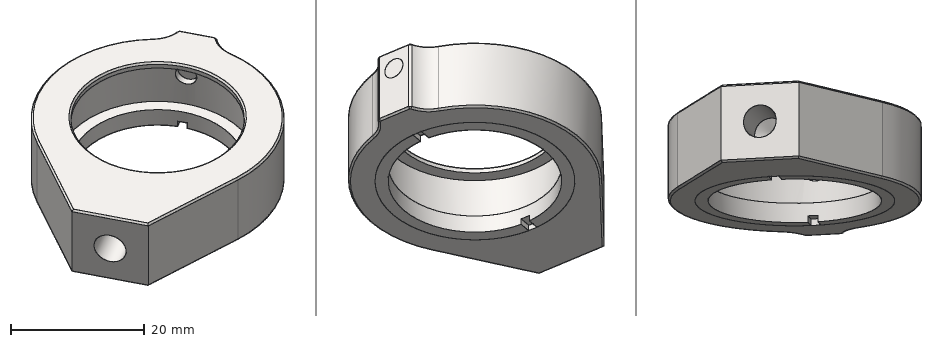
import cadquery as cq
import math

HEIGHT = 12.0
BODY_RADIUS = 19.0
FOOT_Y = -25.02
FOOT_HALF_WIDTH = 6.0
TAB_Y = 20.98
TAB_HALF_WIDTH = 3.0
TAB_BLEND_RADIUS = 5.0
EDGE_CHAMFER = 0.3

LIP_RADIUS = 13.0
LIP_HEIGHT = 1.0
BORE_RADIUS = 15.0

RING_HEIGHT = 3.0
NOTCH_WIDTH = 1.5
NOTCH_DEPTH = 1.0

MOUNT_HOLE_DIAMETER = 5.0
MOUNT_HOLE_RADIUS = MOUNT_HOLE_DIAMETER / 2
MOUNT_HOLE_DEPTH = 8.0
DRILL_TIP_ANGLE = 118

SCREW_RADIUS = 1.65
SCREW_Z = 8.5
SCREW_SETBACK = 1.2


def tangent_point():
    """Right-hand point where the line from the foot corner touches the round body."""
    corner_distance = math.hypot(FOOT_HALF_WIDTH, FOOT_Y)
    corner_angle = math.atan2(FOOT_Y, FOOT_HALF_WIDTH)
    angle = corner_angle + math.acos(BODY_RADIUS / corner_distance)
    return BODY_RADIUS * math.cos(angle), BODY_RADIUS * math.sin(angle)


def blend_end_point():
    """Right-hand point where the concave arc from the tab corner touches the round body."""
    centre_distance = BODY_RADIUS + TAB_BLEND_RADIUS
    corner_distance = math.hypot(TAB_HALF_WIDTH, TAB_Y)
    corner_angle = math.atan2(TAB_Y, TAB_HALF_WIDTH)
    opening = math.acos(
        (centre_distance**2 + corner_distance**2 - TAB_BLEND_RADIUS**2)
        / (2 * centre_distance * corner_distance)
    )
    angle = corner_angle - opening
    return BODY_RADIUS * math.cos(angle), BODY_RADIUS * math.sin(angle)


def mirrored(point):
    """The same point on the other side of the YZ plane."""
    return -point[0], point[1]


def make_blank():
    """Solid outline of the housing with its top, bottom and tab face edges chamfered."""
    tangent = tangent_point()
    blend_end = blend_end_point()
    return (
        cq.Workplane("XY")
        .moveTo(-FOOT_HALF_WIDTH, FOOT_Y)
        .lineTo(FOOT_HALF_WIDTH, FOOT_Y)
        .lineTo(*tangent)
        .radiusArc((BODY_RADIUS, 0), -BODY_RADIUS)
        .radiusArc(blend_end, -BODY_RADIUS)
        .radiusArc((TAB_HALF_WIDTH, TAB_Y), TAB_BLEND_RADIUS)
        .lineTo(-TAB_HALF_WIDTH, TAB_Y)
        .radiusArc(mirrored(blend_end), TAB_BLEND_RADIUS)
        .radiusArc((-BODY_RADIUS, 0), -BODY_RADIUS)
        .radiusArc(mirrored(tangent), -BODY_RADIUS)
        .close()
        .extrude(HEIGHT)
        .faces("<Z or >Z or >Y")
        .edges()
        .chamfer(EDGE_CHAMFER)
    )


def make_bore():
    """Space inside the housing: wide bore, lip opening and the chamfer at its top, turned about Z."""
    lip_bottom = HEIGHT - LIP_HEIGHT
    return (
        cq.Workplane("XZ")
        .lineTo(BORE_RADIUS, 0)
        .lineTo(BORE_RADIUS, lip_bottom)
        .lineTo(LIP_RADIUS, lip_bottom)
        .lineTo(LIP_RADIUS, HEIGHT - EDGE_CHAMFER)
        .lineTo(LIP_RADIUS + EDGE_CHAMFER, HEIGHT)
        .lineTo(0, HEIGHT)
        .close()
        .revolve(360, (0, 0), (0, 1))
    )


def make_mount_hole():
    """Blind hole along +Y from the middle of the foot face."""
    middle_z = HEIGHT / 2
    cylinder_end = FOOT_Y + MOUNT_HOLE_DEPTH
    tip_length = MOUNT_HOLE_RADIUS / math.tan(math.radians(DRILL_TIP_ANGLE / 2))
    return (
        cq.Workplane("YZ")
        .moveTo(FOOT_Y, middle_z)
        .lineTo(FOOT_Y, middle_z + MOUNT_HOLE_RADIUS)
        .lineTo(cylinder_end, middle_z + MOUNT_HOLE_RADIUS)
        .lineTo(cylinder_end + tip_length, middle_z)
        .close()
        .revolve(360, (FOOT_Y, middle_z), (cylinder_end, middle_z))
    )


def tab_cylinder(start_y):
    """Cylinder of the screw's size from start_y out to the tab face."""
    return (
        cq.Workplane("XZ", origin=(0, start_y, SCREW_Z))
        .circle(SCREW_RADIUS)
        .extrude(start_y - TAB_Y)
    )


def make_housing():
    screw_hole = tab_cylinder(0)
    return make_blank().cut(make_bore()).cut(make_mount_hole()).cut(screw_hole)


def make_retaining_ring():
    ring = cq.Workplane("XY").circle(BORE_RADIUS).circle(LIP_RADIUS).extrude(RING_HEIGHT)
    notches = cq.Workplane("XY").rect(NOTCH_WIDTH, 2 * BORE_RADIUS).extrude(NOTCH_DEPTH)
    return ring.cut(notches)


def make_set_screw():
    return tab_cylinder(BORE_RADIUS + SCREW_SETBACK)


housing = make_housing()
retaining_ring = make_retaining_ring()
set_screw = make_set_screw()

result = cq.Compound.makeCompound([housing.val(), retaining_ring.val(), set_screw.val()])